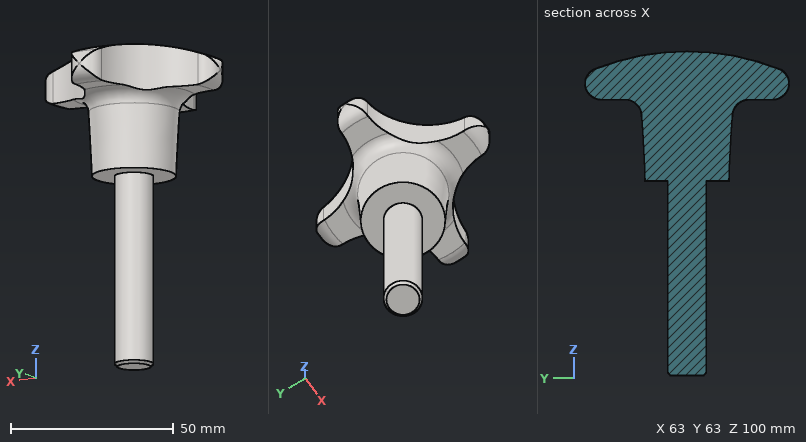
import cadquery as cq
import math


span = 63.0
arm_width = 10.0
arm_count = 4
head_top = 40.0
arm_underside = 25.0
hub_bottom_radius = 13.0
hub_taper = math.radians(3.0)
neck_radius = 5.0
stud_diameter = 12.0
stud_length = 60.0
stud_chamfer = 0.9

tip_radius = arm_width / 2
tip_center = span / 2 - tip_radius
tip_height = arm_underside + tip_radius
neck_center_height = arm_underside - neck_radius
hub_height = neck_center_height + neck_radius * math.sin(hub_taper)
hub_top_radius = hub_bottom_radius + hub_height * math.tan(hub_taper)
neck_center_radius = hub_top_radius + neck_radius * math.cos(hub_taper)
scallop_radius = tip_center - tip_radius

rim_drop = head_top - tip_height
dome_radius = (tip_center**2 + rim_drop**2 - tip_radius**2) / (2 * (rim_drop - tip_radius))
dome_center_height = head_top - dome_radius


def revolve_about_z(profile):
    return profile.close().revolve(360, (0, 0, 0), (0, 1, 0))


def dome_point(angle):
    """Point on the dome at an angle from the axis, on the -X side of the XZ plane."""
    return (-dome_radius * math.sin(angle), dome_center_height + dome_radius * math.cos(angle))


def make_turned_body():
    """Hub, neck blend, rounded rim and dome as one revolved profile."""
    rim_angle = math.atan2(tip_center, tip_height - dome_center_height)
    diagonal = math.sqrt(0.5)
    neck_middle = (
        -(neck_center_radius - neck_radius * diagonal),
        neck_center_height + neck_radius * diagonal,
    )
    profile = (
        cq.Workplane("XZ")
        .lineTo(-hub_bottom_radius, 0)
        .lineTo(-hub_top_radius, hub_height)
        .threePointArc(neck_middle, (-neck_center_radius, arm_underside))
        .lineTo(-tip_center, arm_underside)
        .threePointArc((-span / 2, tip_height), dome_point(rim_angle))
        .threePointArc(dome_point(rim_angle / 2), (0, head_top))
    )
    return revolve_about_z(profile)


def make_star_prism():
    """Plan outline: round-ended arms joined by concave scallops."""

    def turned(x, y, arm):
        angle = 2 * math.pi * arm / arm_count
        return (
            x * math.cos(angle) - y * math.sin(angle),
            x * math.sin(angle) + y * math.cos(angle),
        )

    scallop_middle = tip_center - scallop_radius * math.sqrt(0.5)
    outline = cq.Workplane("XY").moveTo(tip_center, -tip_radius)
    for arm in range(arm_count):
        outline = outline.threePointArc(
            turned(span / 2, 0, arm),
            turned(tip_center, tip_radius, arm),
        )
        outline = outline.threePointArc(
            turned(scallop_middle, scallop_middle, arm),
            turned(tip_center, -tip_radius, arm + 1),
        )
    return outline.close().extrude(head_top)


def make_stud():
    """Plain stud below the hub, chamfered at its free end."""
    return (
        cq.Workplane("XY")
        .circle(stud_diameter / 2)
        .extrude(-stud_length)
        .faces("<Z")
        .chamfer(stud_chamfer)
    )


knob = make_turned_body().intersect(make_star_prism())
result = knob.union(make_stud())